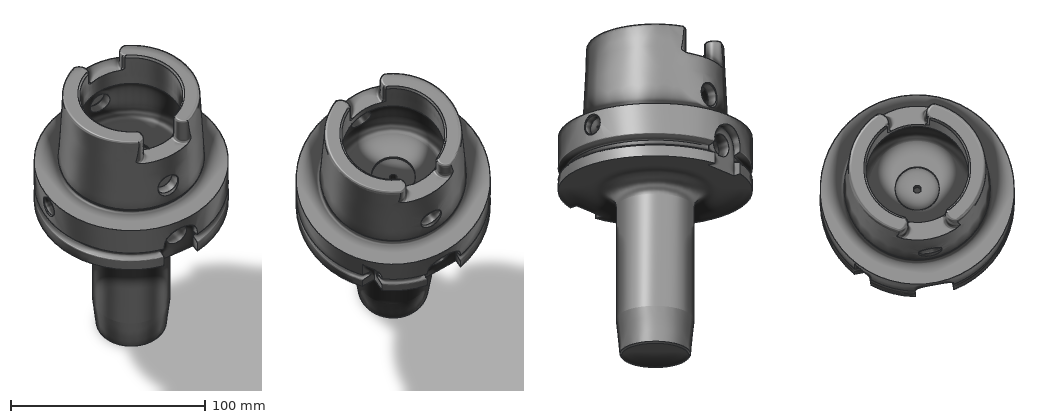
import cadquery as cq
import math


taper_height = 50.0
taper_base_radius = 37.7
taper_slope = 0.05
rim_fillet = 1.7

relief_top = 2.9
relief_bottom = 1.0
relief_radius = 37.0
relief_outer_radius = 39.2

flange_radius = 50.04
flange_height = 29.0
groove_center = -19.9
groove_mouth = 6.0
groove_floor = 3.4
groove_fillet = 0.8
groove_radius = 46.0

shank_radius = 20.0
shank_fillet = 9.5
shank_length = 90.9
nose_height = 19.5
nose_radius = 18.2
nose_chamfer = 0.8

bore_radius = 26.5
bore_chamfer = 1.0
bore_lip = 29.9
lip_angle = 30
cavity_radius = 31.5
cavity_floor = 2.4
cavity_fillet = 6.5
center_recess_radius = 11.4
center_recess_depth = 1.7
center_hole_radius = 2.0
center_hole_depth = 5.1

slot_half_width = 10.0
slot_depths = {-1: 9.9, 1: 15.1}
horn_radius = 5.1
slot_floor_fillet = 1.9

access_height = 15.0
access_radius = 6.0
access_countersink = 0.8

keyway_radius = 10.0
keyway_height = -15.1
keyway_floor = 44.7
keyway_hole_radius = 6.1
keyway_hole_depth = 6.8
drill_angle = 118
notch_floor = 31.6
notch_center = 41.5

pocket_height = -7.1
pocket_radius = 5.01
pocket_chamfer = 0.6
pocket_depth = 4.6
pocket_pilot_radius = 0.5
pocket_pilot_depth = 1.0


def taper_radius(z):
    return taper_base_radius - taper_slope * (z - relief_top)


def make_body():
    flange_bottom = -flange_height
    tip = flange_bottom - shank_length
    arc_offset = shank_fillet * (1 - math.sqrt(0.5))
    relief_width = relief_outer_radius - relief_radius
    relief_arc = (relief_width**2 + relief_bottom**2) / (2 * relief_bottom)
    rim_radius = taper_radius(taper_height - rim_fillet) - rim_fillet
    rim_offset = rim_fillet * (1 - math.sqrt(0.5))
    body = (
        cq.Workplane("YZ")
        .moveTo(0, tip)
        .lineTo(nose_radius - nose_chamfer, tip)
        .lineTo(nose_radius, tip + nose_chamfer)
        .lineTo(shank_radius, tip + nose_height)
        .lineTo(shank_radius, flange_bottom - shank_fillet)
        .threePointArc(
            (shank_radius + arc_offset, flange_bottom - arc_offset),
            (shank_radius + shank_fillet, flange_bottom),
        )
        .lineTo(flange_radius, flange_bottom)
        .lineTo(flange_radius, groove_center - groove_mouth / 2)
        .lineTo(groove_radius, groove_center - groove_floor / 2)
        .lineTo(groove_radius, groove_center + groove_floor / 2)
        .lineTo(flange_radius, groove_center + groove_mouth / 2)
        .lineTo(flange_radius, 0)
        .lineTo(relief_outer_radius, 0)
        .radiusArc((relief_radius, relief_bottom), relief_arc)
        .lineTo(taper_base_radius, relief_top)
        .lineTo(taper_radius(taper_height - rim_fillet), taper_height - rim_fillet)
        .threePointArc(
            (rim_radius + rim_fillet * math.sqrt(0.5), taper_height - rim_offset),
            (rim_radius, taper_height),
        )
        .lineTo(0, taper_height)
        .close()
        .revolve(360, (0, 0), (0, 1))
    )
    groove_corners = cq.selectors.BoxSelector(
        (-groove_radius, -groove_radius, groove_center - groove_floor),
        (groove_radius, groove_radius, groove_center + groove_floor),
    )
    return body.edges("%CIRCLE").edges(groove_corners).fillet(groove_fillet)


def make_cavity():
    lip_drop = (cavity_radius - bore_radius) * math.tan(math.radians(lip_angle))
    center_floor = cavity_floor - center_recess_depth
    hole_floor = center_floor - center_hole_depth
    return (
        cq.Workplane("YZ")
        .moveTo(0, hole_floor)
        .lineTo(center_hole_radius, hole_floor)
        .lineTo(center_hole_radius, center_floor)
        .lineTo(center_recess_radius, center_floor)
        .lineTo(center_recess_radius, cavity_floor)
        .lineTo(cavity_radius - cavity_fillet, cavity_floor)
        .radiusArc((cavity_radius, cavity_floor + cavity_fillet), -cavity_fillet)
        .lineTo(cavity_radius, bore_lip - lip_drop)
        .lineTo(bore_radius, bore_lip)
        .lineTo(bore_radius, taper_height - bore_chamfer)
        .lineTo(bore_radius + bore_chamfer, taper_height)
        .lineTo(0, taper_height)
        .close()
        .revolve(360, (0, 0), (0, 1))
    )


def make_drive_slot(depth):
    """Cutter at +X whose walls curve outward to round the horns beside it."""
    floor = taper_height - depth
    outer = taper_radius(floor)
    arc_y = slot_half_width + horn_radius
    arc_x = math.sqrt((outer - horn_radius) ** 2 - arc_y**2)
    end_angle = math.atan2(arc_y, arc_x)
    middle_angle = (end_angle - math.pi / 2) / 2
    end_x = arc_x + horn_radius * math.cos(end_angle)
    end_y = arc_y + horn_radius * math.sin(end_angle)
    middle_x = arc_x + horn_radius * math.cos(middle_angle)
    middle_y = arc_y + horn_radius * math.sin(middle_angle)
    runout_x = end_x - flange_radius * math.sin(end_angle)
    runout_y = end_y + flange_radius * math.cos(end_angle)
    wall_angle = math.asin(slot_half_width / bore_radius)
    corner_angle = wall_angle + bore_chamfer / bore_radius
    corner_x = bore_radius * math.cos(corner_angle)
    corner_y = bore_radius * math.sin(corner_angle)
    wall_x = bore_radius * math.cos(wall_angle) + bore_chamfer
    far_x = 2 * flange_radius
    return (
        cq.Workplane("XY", origin=(0, 0, floor))
        .moveTo(0, -corner_y)
        .lineTo(corner_x, -corner_y)
        .lineTo(wall_x, -slot_half_width)
        .lineTo(arc_x, -slot_half_width)
        .threePointArc((middle_x, -middle_y), (end_x, -end_y))
        .lineTo(runout_x, -runout_y)
        .lineTo(far_x, -runout_y)
        .lineTo(far_x, runout_y)
        .lineTo(runout_x, runout_y)
        .lineTo(end_x, end_y)
        .threePointArc((middle_x, middle_y), (arc_x, slot_half_width))
        .lineTo(wall_x, slot_half_width)
        .lineTo(corner_x, corner_y)
        .lineTo(0, corner_y)
        .close()
        .extrude(2 * depth)
        .faces("<Z")
        .edges(cq.selectors.BoxSelector((1.7, -end_y, floor - 1.7), (end_x, end_y, floor + 1.7)))
        .fillet(slot_floor_fillet)
    )


def make_slotted_blank():
    """Cylinder around the whole part with both drive slots and their rounded upper edges."""
    bottom = -flange_height - shank_length
    blank = (
        cq.Workplane("XY", origin=(0, 0, bottom))
        .circle(flange_radius)
        .extrude(taper_height - bottom)
    )
    for side, depth in slot_depths.items():
        slot = make_drive_slot(depth)
        blank = blank.cut(slot if side > 0 else slot.mirror("YZ"))
    rim = blank.faces(">Z").edges()
    outer_arcs = [e for e in rim.vals() if e.geomType() == "CIRCLE" and e.radius() > 34]
    return rim.newObject([e for e in rim.vals() if e not in outer_arcs]).fillet(rim_fillet)


def make_access_holes():
    """Cross hole along X, countersunk where it leaves the taper on each side."""
    surface = taper_radius(access_height)
    rim = access_radius + access_countersink
    reach = 3.4
    return (
        cq.Workplane("XY", origin=(0, 0, access_height))
        .moveTo(-surface - reach, 0)
        .lineTo(-surface - reach, rim + reach)
        .lineTo(access_countersink - surface, access_radius)
        .lineTo(surface - access_countersink, access_radius)
        .lineTo(surface + reach, rim + reach)
        .lineTo(surface + reach, 0)
        .close()
        .revolve(360, (0, 0), (1, 0))
    )


def make_keyway(floor_x, center_y):
    """Cutter open toward +X and downward, with a round upper end."""
    length = flange_radius
    return (
        cq.Workplane("YZ", origin=(floor_x, center_y, keyway_height))
        .moveTo(-keyway_radius, -flange_height)
        .lineTo(-keyway_radius, 0)
        .threePointArc((0, keyway_radius), (keyway_radius, 0))
        .lineTo(keyway_radius, -flange_height)
        .close()
        .extrude(length)
    )


def make_keyway_hole():
    """Drilled hole with a conical bottom in the floor of the +X keyway."""
    cone_depth = keyway_hole_radius / math.tan(math.radians(drill_angle / 2))
    shoulder = keyway_floor - keyway_hole_depth
    return (
        cq.Workplane("XY", origin=(0, 0, keyway_height))
        .moveTo(keyway_floor, 0)
        .lineTo(keyway_floor, keyway_hole_radius)
        .lineTo(shoulder, keyway_hole_radius)
        .lineTo(shoulder - cone_depth, 0)
        .close()
        .revolve(360, (0, 0), (1, 0))
    )


def make_pocket():
    """Chamfered round pocket with a small pilot hole in its floor."""
    mouth = pocket_radius + pocket_chamfer
    floor = flange_radius - pocket_depth
    return (
        cq.Workplane("XY", origin=(0, 0, pocket_height))
        .moveTo(0, -flange_radius)
        .lineTo(mouth, -flange_radius)
        .lineTo(pocket_radius, pocket_chamfer - flange_radius)
        .lineTo(pocket_radius, -floor)
        .lineTo(pocket_pilot_radius, -floor)
        .lineTo(pocket_pilot_radius, pocket_pilot_depth - floor)
        .lineTo(0, pocket_pilot_depth - floor)
        .close()
        .revolve(360, (0, 0), (0, 1))
    )


result = make_body().cut(make_cavity()).intersect(make_slotted_blank())
result = result.cut(make_access_holes())
keyway = make_keyway(keyway_floor, 0).union(make_keyway_hole())
result = result.cut(keyway).cut(keyway.mirror("YZ"))
result = result.cut(make_keyway(notch_floor, notch_center).mirror("YZ"))
result = result.cut(make_pocket())